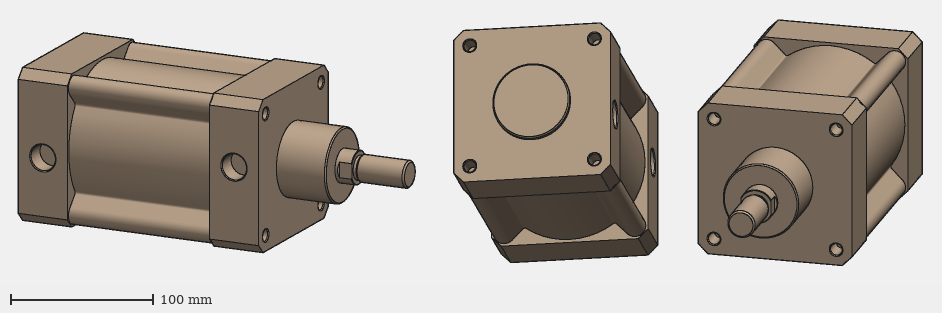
import cadquery as cq
import math


cap_width = 112.0
cap_length = 38.5
cap_corner_chamfer = 7.0

cylinder_length = 188.0
front_cap_start = cylinder_length - cap_length

guide_diameter = 55.0
guide_chamfer = 1.0
spigot_length = 4.0
collar_length = 38.5

hole_spacing = 89.0
hole_diameter = 8.5
hole_mouth_diameter = 10.0
hole_depth = 16.0

port_diameter = 19.0
port_mouth_diameter = 20.5
port_depth = 15.0
port_offset = 6.0

barrel_radius = 53.8
barrel_length = cylinder_length - 2 * cap_length
lobe_radius = 7.6
lobe_center = 46.7
lobe_root_fillet = 1.7

rod_diameter = 25.0
rod_shoulder_x = cylinder_length + 51.0
wrench_length = 10.5
wrench_diameter = 24.8
wrench_chamfer = 0.4
ramp_length = 1.0
flat_width = 22.0
thread_diameter = 20.0
thread_length = 40.0
thread_chamfer = 1.3
neck_diameter = 18.0
neck_length = 2.3


def x_cylinder(diameter, start, length):
    """Cylinder on the main axis from x = start to start + length."""
    return cq.Workplane("YZ", origin=(start, 0, 0)).circle(diameter / 2).extrude(length)


def countersunk_hole(origin, direction, diameter, mouth_diameter, depth):
    """Cutter for a blind hole with a 45 degree chamfer at its mouth."""
    chamfer = (mouth_diameter - diameter) / 2
    plane = cq.Plane(origin=origin, normal=direction)
    bore = cq.Workplane(plane).circle(diameter / 2).extrude(depth)
    mouth = cq.Workplane(plane).circle(mouth_diameter / 2).extrude(chamfer, taper=45)
    return bore.union(mouth)


def cap(start, outer_x, inward, port_z):
    """Cap block with four holes in the face at outer_x and an air port."""
    block = cq.Workplane("YZ", origin=(start, 0, 0)).rect(cap_width, cap_width).extrude(cap_length)
    block = block.edges("|X").chamfer(cap_corner_chamfer)
    for y_side in (-1, 1):
        for z_side in (-1, 1):
            mouth_center = (outer_x, y_side * hole_spacing / 2, z_side * hole_spacing / 2)
            block = block.cut(countersunk_hole(
                mouth_center, (inward, 0, 0), hole_diameter, hole_mouth_diameter, hole_depth))
    port_center = (start + cap_length / 2, -cap_width / 2, port_z)
    return block.cut(countersunk_hole(
        port_center, (0, 1, 0), port_diameter, port_mouth_diameter, port_depth))


def make_rear_cap():
    spigot = x_cylinder(guide_diameter, -spigot_length, spigot_length)
    spigot = spigot.faces("<X").chamfer(guide_chamfer)
    return cap(0, 0, 1, -port_offset).union(spigot)


def make_front_cap():
    collar = x_cylinder(guide_diameter, cylinder_length, collar_length)
    collar = collar.faces(">X").chamfer(guide_chamfer)
    rod_bore = x_cylinder(rod_diameter, front_cap_start, cap_length + collar_length)
    return cap(front_cap_start, cylinder_length, -1, port_offset).union(collar).cut(rod_bore)


def lies_on_barrel(edge):
    """True for a lengthwise edge on the round surface of the barrel."""
    middle = edge.Center()
    return math.isclose(math.hypot(middle.y, middle.z), barrel_radius, abs_tol=0.01)


def make_barrel():
    """Round barrel with four diagonal round-ended lobes that blend into it."""
    section = cq.Workplane("YZ", origin=(cap_length, 0, 0))
    barrel = section.circle(barrel_radius).extrude(barrel_length)
    reach = lobe_center * math.sqrt(2)
    for angle in (45, 135):
        bar = (
            section.transformed(rotate=(0, 0, angle))
            .slot2D(2 * (reach + lobe_radius), 2 * lobe_radius)
            .extrude(barrel_length)
        )
        barrel = barrel.union(bar)
    roots = barrel.edges("|X").filter(lies_on_barrel)
    return roots.fillet(lobe_root_fillet)


def wrench_section(start):
    """Slightly stepped-down rod end with two flats that start with a ramp."""
    end = start + wrench_length
    ramp_end = start + ramp_length
    step = (
        cq.Workplane("YZ", origin=(start, 0, 0)).circle(rod_diameter / 2)
        .workplane(offset=ramp_length).circle(wrench_diameter / 2).loft()
    )
    body = x_cylinder(wrench_diameter, ramp_end, end - ramp_end)
    body = body.faces(">X").chamfer(wrench_chamfer)
    between_flats = (
        cq.Workplane("XY", origin=(0, 0, -rod_diameter / 2))
        .moveTo(start, rod_diameter / 2)
        .lineTo(ramp_end, flat_width / 2)
        .lineTo(end, flat_width / 2)
        .lineTo(end, -flat_width / 2)
        .lineTo(ramp_end, -flat_width / 2)
        .lineTo(start, -rod_diameter / 2)
        .close()
        .extrude(rod_diameter)
    )
    return step.union(body).intersect(between_flats)


def make_piston_rod():
    wrench_start = rod_shoulder_x - wrench_length
    rod = x_cylinder(rod_diameter, front_cap_start, wrench_start - front_cap_start)
    rod = rod.union(wrench_section(wrench_start))
    neck = x_cylinder(neck_diameter, rod_shoulder_x, neck_length)
    thread = x_cylinder(thread_diameter, rod_shoulder_x + neck_length, thread_length - neck_length)
    thread = thread.faces("<X or >X").chamfer(thread_chamfer)
    return rod.union(neck).union(thread)


rear_cap = make_rear_cap()
barrel = make_barrel()
front_cap = make_front_cap()
piston_rod = make_piston_rod()

result = cq.Compound.makeCompound(
    [rear_cap.val(), barrel.val(), front_cap.val(), piston_rod.val()]
)